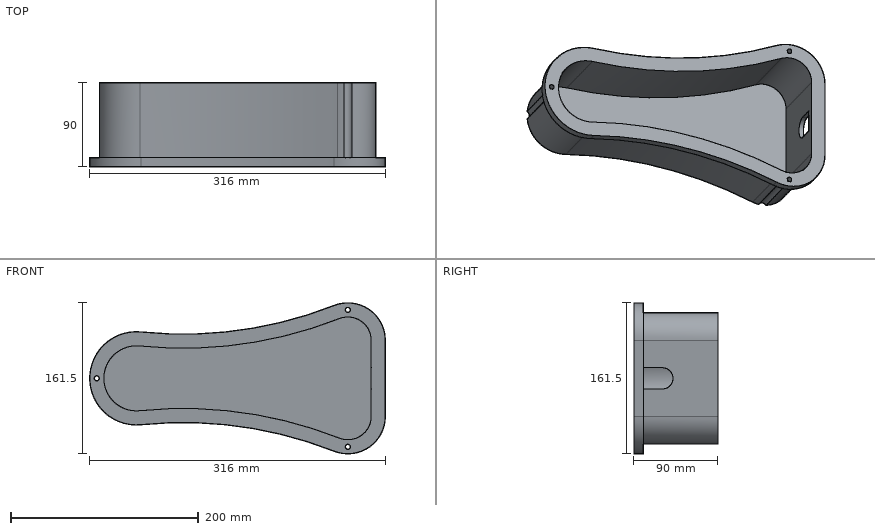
import cadquery as cq
import math

length = 316.0
depth = 90.0
height = 161.5

nose_radius = 50.0
corner_radius = 40.0
flank_radius = 439.3

flange_thickness = 10.0
flange_overhang = 10.0
wall = 5.0
cavity_inset = flange_overhang + wall
floor_thickness = wall

hole_diameter = 5.0
hole_inset = cavity_inset / 2
groove_radius = 5.0

window_height = 22.8
window_length = 31.5

end_x = length - nose_radius
corner_x = end_x - corner_radius
corner_z = height / 2 - corner_radius


def find_flank_center():
    """Centre of the upper flank arc, tangent externally to the nose and the corner."""
    span = math.hypot(corner_x, corner_z)
    to_nose = flank_radius + nose_radius
    to_corner = flank_radius + corner_radius
    along = (to_nose**2 - to_corner**2 + span**2) / (2 * span)
    across = math.sqrt(to_nose**2 - along**2)
    x = (along * corner_x - across * corner_z) / span
    z = (along * corner_z + across * corner_x) / span
    return x, z


flank_x, flank_z = find_flank_center()


def point_toward(center, target, distance):
    """Point at a distance from center on the line to target."""
    dx = target[0] - center[0]
    dz = target[1] - center[1]
    scale = distance / math.hypot(dx, dz)
    return center[0] + dx * scale, center[1] + dz * scale


def mirrored(point):
    return point[0], -point[1]


def outline_prism(inset, y_start, y_end):
    """Solid between two Y planes, with the flange outline moved inward by inset."""
    corner = (corner_x, corner_z)
    flank = (flank_x, flank_z)
    nose_r = nose_radius - inset
    corner_r = corner_radius - inset
    flank_r = flank_radius + inset

    nose_tangent = point_toward((0, 0), flank, nose_r)
    corner_tangent = point_toward(corner, flank, corner_r)
    flank_middle = (flank_x, flank_z - flank_r)
    corner_bisector = (corner_tangent[0] + end_x - inset, corner_tangent[1] + corner_z)
    corner_middle = point_toward(corner, (corner_bisector[0] / 2, corner_bisector[1] / 2), corner_r)
    end_top = (end_x - inset, corner_z)

    return (
        cq.Workplane("XZ", origin=(0, y_start, 0))
        .moveTo(*nose_tangent)
        .threePointArc(flank_middle, corner_tangent)
        .threePointArc(corner_middle, end_top)
        .lineTo(*mirrored(end_top))
        .threePointArc(mirrored(corner_middle), mirrored(corner_tangent))
        .threePointArc(mirrored(flank_middle), mirrored(nose_tangent))
        .threePointArc((-nose_r, 0), nose_tangent)
        .close()
        .extrude(y_start - y_end)
    )


def screw_cylinders(radius, y_start, y_end):
    """Cylinders along Y at the three screw positions."""
    side_z = height / 2 - hole_inset
    positions = [
        (hole_inset - nose_radius, 0),
        (corner_x, side_z),
        (corner_x, -side_z),
    ]
    return (
        cq.Workplane("XZ", origin=(0, y_start, 0))
        .pushPoints(positions)
        .circle(radius)
        .extrude(y_start - y_end)
    )


def end_window():
    """Cutter for the end wall: square at the flange and semicircular at the far end."""
    half = window_height / 2
    y_start = flange_thickness
    y_end = y_start + window_length
    return (
        cq.Workplane("YZ", origin=(end_x - cavity_inset - wall, 0, 0))
        .moveTo(y_start, -half)
        .lineTo(y_end - half, -half)
        .threePointArc((y_end, 0), (y_end - half, half))
        .lineTo(y_start, half)
        .close()
        .extrude(cavity_inset + wall)
    )


flange = outline_prism(0, 0, flange_thickness)
body = outline_prism(flange_overhang, 0, depth)
cavity = outline_prism(cavity_inset, 0, depth - floor_thickness)

result = (
    flange.union(body)
    .cut(screw_cylinders(groove_radius, flange_thickness, depth))
    .cut(cavity)
    .cut(screw_cylinders(hole_diameter / 2, 0, flange_thickness))
    .cut(end_window())
)